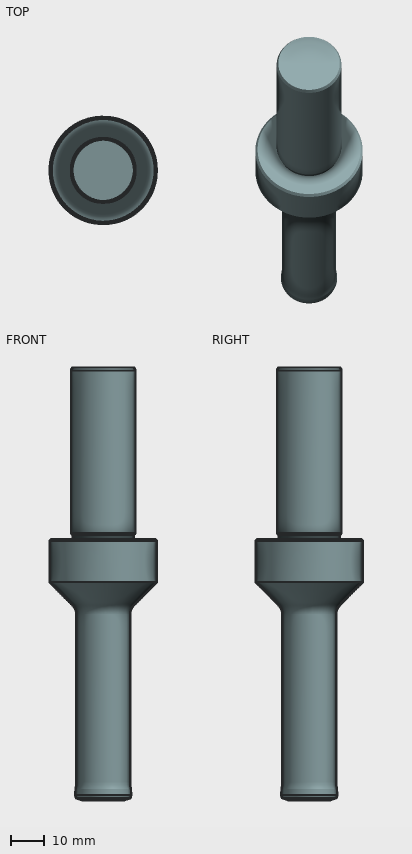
import cadquery as cq
import math

total_length = 127.9

shank_radius = 9.6
shank_foot_radius = 9.1
shank_foot_height = 1.2
shank_chamfer_width = shank_radius - shank_foot_radius
shank_lower_chamfer_height = 0.6
shank_upper_chamfer_height = 0.9

collar_radius = 15.9
collar_top = 77.3
collar_bottom = 64.5
collar_chamfer = 0.6
cone_slope_angle = 45.0
cone_fillet_radius = 3.8

stem_diameter = 16.0
stem_radius = stem_diameter / 2
flare_top = 5.2
bead_top = 3.2
bead_top_diameter = 16.5
bead_top_radius = bead_top_diameter / 2
bead_bottom = 1.5
bead_bottom_radius = 8.3
bead_chamfer_width = 0.3
tip_cone_radius = bead_bottom_radius - bead_chamfer_width
tip_cone_height = 0.6
tip_face_radius = 6.1


def revolve_profile(profile):
    """Close a half outline drawn in radius and height, and turn it about Z."""
    return profile.close().revolve(360, (0, 0), (0, 1))


def make_shank():
    """Rod with equally wide chamfers at both ends, its foot resting on the top of the collar."""
    foot_top = collar_top + shank_foot_height
    return revolve_profile(
        cq.Workplane("XZ")
        .moveTo(0, collar_top)
        .lineTo(shank_foot_radius, collar_top)
        .lineTo(shank_foot_radius, foot_top)
        .lineTo(shank_radius, foot_top + shank_lower_chamfer_height)
        .lineTo(shank_radius, total_length - shank_upper_chamfer_height)
        .lineTo(shank_radius - shank_chamfer_width, total_length)
        .lineTo(0, total_length)
    )


def make_spindle():
    """Collar tapering through a filleted cone to a stem that flares into a bead."""
    slope = math.radians(cone_slope_angle)
    cone_base = collar_bottom - (collar_radius - stem_radius) * math.tan(slope)
    fillet_setback = cone_fillet_radius * math.tan((math.pi / 2 - slope) / 2)
    fillet_bottom = cone_base - fillet_setback
    fillet_top = cone_base + fillet_setback * math.sin(slope)
    fillet_top_radius = stem_radius + fillet_setback * math.cos(slope)

    flare_middle_radius = stem_radius + (bead_top_radius - stem_radius) / 4
    flare_middle = (flare_middle_radius, (bead_top + flare_top) / 2)

    return revolve_profile(
        cq.Workplane("XZ")
        .moveTo(0, 0)
        .lineTo(tip_face_radius, 0)
        .lineTo(tip_cone_radius, tip_cone_height)
        .lineTo(bead_bottom_radius, bead_bottom)
        .lineTo(bead_top_radius, bead_top)
        .threePointArc(flare_middle, (stem_radius, flare_top))
        .lineTo(stem_radius, fillet_bottom)
        .tangentArcPoint((fillet_top_radius, fillet_top), relative=False)
        .lineTo(collar_radius, collar_bottom)
        .lineTo(collar_radius, collar_top - collar_chamfer)
        .lineTo(collar_radius - collar_chamfer, collar_top)
        .lineTo(0, collar_top)
    )


shank = make_shank()
spindle = make_spindle()

result = cq.Compound.makeCompound([shank.val(), spindle.val()])